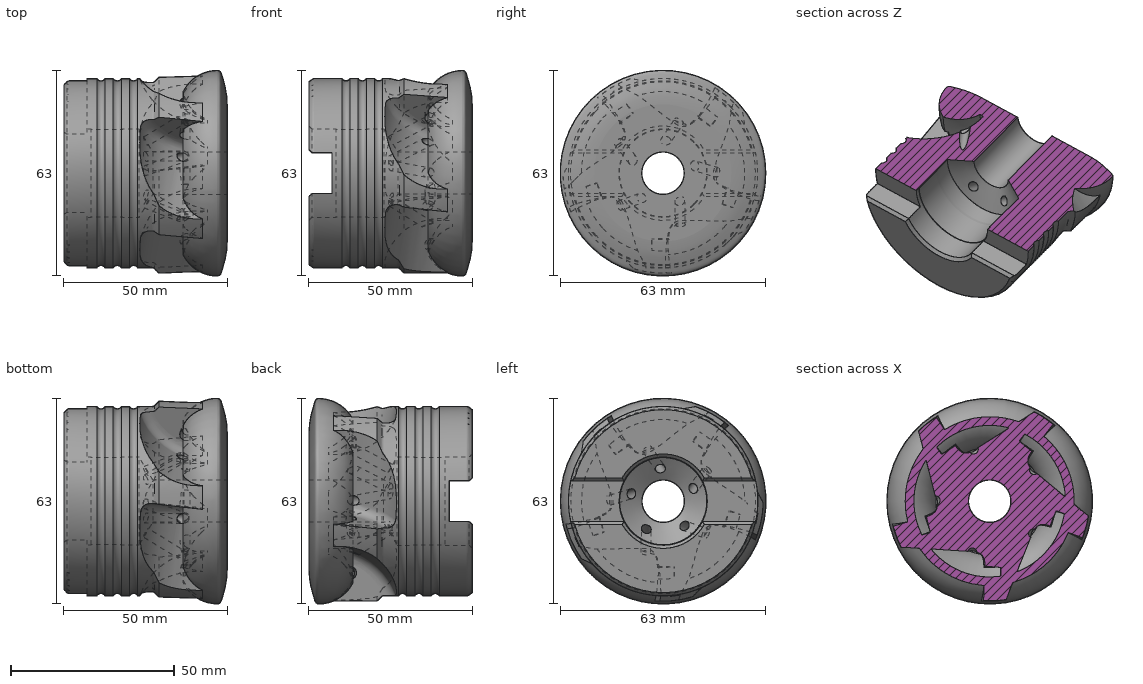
import cadquery as cq
import math

length = 50.02
body_radius = 29.0
head_radius = 30.6
head_start = 29.1
head_blend_start = 27.1
head_blend_end = (27.7, 29.23)
head_end = 44.0
rear_face_radius = 28.0
rear_chamfer_end = (1.0, 28.75)
rear_rounding_end = 1.65

groove_centers = (11.35, 16.35, 21.35)
groove_width = 2.5
groove_depth = 0.7

ring_rear = 36.5
ring_rear_radius = 25.0
ring_under_mid = (39.0, 19.8)
ring_root = (44.0, 16.5)
ring_radius = 31.5
ring_crest = 47.0
ring_shoulder = (48.3, 30.2)
ring_front_mid = (49.4, 26.3)
ring_front_radius = 21.0

bore_radius = 13.5
pilot_radius = 13.35
pilot_start = 8.3
pilot_end = 17.2
relief_start = 18.1
bore_depth = 23.0
mouth_chamfer = 0.95
cone_half_angle = 59.0
through_radius = 6.45

slot_width = 12.4
slot_depth = 7.0

pocket_count = 5
pocket_azimuth = 52.1
pocket_rake = 6.6
floor_height = 14.7
floor_low_x = 44.0
floor_arc_radius = 21.5
pocket_fillet = 3.1
pocket_reach = 45.0

coolant_diameter = 3.0
coolant_entry = (25.1, -9.2, 3.9)
coolant_exit = (35.4, -13.2, 9.1)
coolant_overrun = 2.5

screw_diameter = 4.0
screw_depth = 5.0
screw_x = 37.5
screw_height = 22.0


def revolve_about_x(profile):
    """Turn a closed (x, radius) profile about the X axis."""
    return profile.close().revolve(360, (0, 0, 0), (1, 0, 0))


def make_body():
    profile = (
        cq.Workplane("XY")
        .lineTo(0, rear_face_radius)
        .lineTo(*rear_chamfer_end)
        .tangentArcPoint((rear_rounding_end, body_radius), relative=False)
    )
    groove_bottom = body_radius - groove_depth
    for center in groove_centers:
        profile = profile.lineTo(center - groove_width / 2, body_radius).threePointArc(
            (center, groove_bottom), (center + groove_width / 2, body_radius)
        )
    profile = (
        profile.lineTo(head_blend_start, body_radius)
        .tangentArcPoint(head_blend_end, relative=False)
        .lineTo(head_start, head_radius)
        .lineTo(head_end, head_radius)
        .lineTo(head_end, 0)
    )
    return revolve_about_x(profile)


def make_ring():
    profile = (
        cq.Workplane("XY")
        .moveTo(ring_root[0], 0)
        .lineTo(length, 0)
        .lineTo(length, ring_front_radius)
        .spline(
            [ring_front_mid, ring_shoulder, (ring_crest, ring_radius)],
            tangents=[(0, 1), (-1, 0)],
            includeCurrent=True,
        )
        .tangentArcPoint((ring_rear, ring_rear_radius), relative=False)
        .threePointArc(ring_under_mid, ring_root)
    )
    return revolve_about_x(profile)


def make_pocket():
    """One milled pocket: concave floor, rounded into a flat wall.

    Sketched opening outward along -Y, then tilted and swung into place.
    """
    arc_center = floor_height + floor_arc_radius
    arc_start_x = floor_low_x - floor_arc_radius
    arc_mid = floor_arc_radius / math.sqrt(2)
    top = arc_center + pocket_reach
    cutter = (
        cq.Workplane("XY")
        .moveTo(arc_start_x, -arc_center)
        .threePointArc(
            (floor_low_x - arc_mid, -arc_center + arc_mid),
            (floor_low_x, -floor_height),
        )
        .lineTo(floor_low_x + pocket_reach, -floor_height)
        .lineTo(floor_low_x + pocket_reach, -top)
        .lineTo(arc_start_x, -top)
        .close()
        .extrude(-pocket_reach)
    )
    floor_point = (floor_low_x - arc_mid, -arc_center + arc_mid, 0)
    cutter = cutter.edges(cq.selectors.NearestToPointSelector(floor_point)).fillet(pocket_fillet)
    screw_hole = (
        cq.Workplane("XY")
        .center(screw_x, -screw_height)
        .circle(screw_diameter / 2)
        .extrude(screw_depth)
    )
    pivot = (head_start, 0, 0)
    return (
        cutter.union(screw_hole)
        .rotate(pivot, (head_start, 1, 0), pocket_rake)
        .rotate((0, 0, 0), (1, 0, 0), -pocket_azimuth)
    )


def make_coolant_hole():
    start = cq.Vector(*coolant_entry)
    direction = (cq.Vector(*coolant_exit) - start).normalized()
    hole_length = (cq.Vector(*coolant_exit) - start).Length + 2 * coolant_overrun
    return cq.Workplane(
        cq.Solid.makeCylinder(
            coolant_diameter / 2, hole_length, start - direction * coolant_overrun, direction
        )
    )


def make_bore():
    cone_length = (bore_radius - through_radius) / math.tan(math.radians(cone_half_angle))
    profile = (
        cq.Workplane("XY")
        .lineTo(0, bore_radius + mouth_chamfer)
        .lineTo(mouth_chamfer, bore_radius)
        .lineTo(pilot_start, bore_radius)
        .lineTo(pilot_start, pilot_radius)
        .lineTo(pilot_end, pilot_radius)
        .lineTo(relief_start, bore_radius)
        .lineTo(bore_depth, bore_radius)
        .lineTo(bore_depth + cone_length, through_radius)
        .lineTo(length, through_radius)
        .lineTo(length, 0)
    )
    return revolve_about_x(profile)


def make_slot():
    """Drive slot across the rear face, its mouth chamfered."""
    half = slot_width / 2
    return (
        cq.Workplane("XZ")
        .moveTo(0, half + mouth_chamfer)
        .lineTo(mouth_chamfer, half)
        .lineTo(slot_depth, half)
        .lineTo(slot_depth, -half)
        .lineTo(mouth_chamfer, -half)
        .lineTo(0, -half - mouth_chamfer)
        .close()
        .extrude(body_radius, both=True)
    )


def around_axis(feature):
    """The copies of a feature spaced evenly about X."""
    return [
        feature.rotate((0, 0, 0), (1, 0, 0), index * 360 / pocket_count)
        for index in range(pocket_count)
    ]


result = make_body()
for pocket in around_axis(make_pocket()):
    result = result.cut(pocket)
for coolant_hole in around_axis(make_coolant_hole()):
    result = result.cut(coolant_hole)
result = result.union(make_ring()).cut(make_bore()).cut(make_slot())